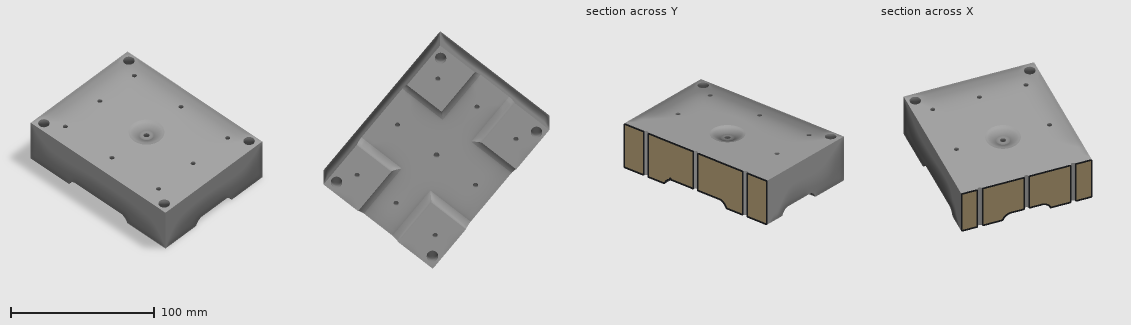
import cadquery as cq

LENGTH = 130.0
WIDTH = 98.0
HEIGHT = 35.0

CORNER_HOLE_DIAMETER = 8.0
CORNER_HOLE_SPACING = (116.0, 86.0)
SMALL_HOLE_DIAMETER = 3.5
SMALL_HOLE_PITCH = (45.0, 35.0)
CENTRE_HOLE_DIAMETER = 4.0

RECESS_TOP_DIAMETER = 25.0
RECESS_FLOOR_DIAMETER = 10.0
RECESS_DEPTH = 3.0

CHANNEL_DEPTH = 5.0
CHANNEL_FLANK_RUN = 5.2
CHANNEL_FLANK_RADIUS = 8.0
CHANNEL_ALONG_X_WIDTH = 36.0
CHANNEL_ALONG_Y_WIDTH = 56.0


def block():
    return cq.Workplane("XY").box(LENGTH, WIDTH, HEIGHT, centered=(True, True, False))


def through_holes(points, diameter):
    return cq.Workplane("XY").pushPoints(points).circle(diameter / 2).extrude(HEIGHT)


def corner_holes():
    spacing_x, spacing_y = CORNER_HOLE_SPACING
    points = [(sx * spacing_x / 2, sy * spacing_y / 2) for sx in (-1, 1) for sy in (-1, 1)]
    return through_holes(points, CORNER_HOLE_DIAMETER)


def small_holes():
    """3 x 3 grid of holes without its middle position."""
    pitch_x, pitch_y = SMALL_HOLE_PITCH
    steps = (-1, 0, 1)
    points = [(i * pitch_x, j * pitch_y) for i in steps for j in steps if (i, j) != (0, 0)]
    return through_holes(points, SMALL_HOLE_DIAMETER)


def conical_recess():
    floor = HEIGHT - RECESS_DEPTH
    return (
        cq.Workplane("XZ")
        .moveTo(0, floor)
        .lineTo(RECESS_FLOOR_DIAMETER / 2, floor)
        .lineTo(RECESS_TOP_DIAMETER / 2, HEIGHT)
        .lineTo(0, HEIGHT)
        .close()
        .revolve(360, (0, 0), (0, 1))
    )


def channel(plane, width, length):
    """Channel cutter running along the normal of the given vertical plane."""
    foot = width / 2
    roof = foot - CHANNEL_FLANK_RUN
    return (
        cq.Workplane(plane)
        .moveTo(-foot, 0)
        .radiusArc((-roof, CHANNEL_DEPTH), CHANNEL_FLANK_RADIUS)
        .lineTo(roof, CHANNEL_DEPTH)
        .radiusArc((foot, 0), CHANNEL_FLANK_RADIUS)
        .close()
        .extrude(length / 2, both=True)
    )


result = (
    block()
    .cut(channel("YZ", CHANNEL_ALONG_X_WIDTH, LENGTH))
    .cut(channel("XZ", CHANNEL_ALONG_Y_WIDTH, WIDTH))
    .cut(conical_recess())
    .cut(corner_holes())
    .cut(small_holes())
    .cut(through_holes([(0, 0)], CENTRE_HOLE_DIAMETER))
)